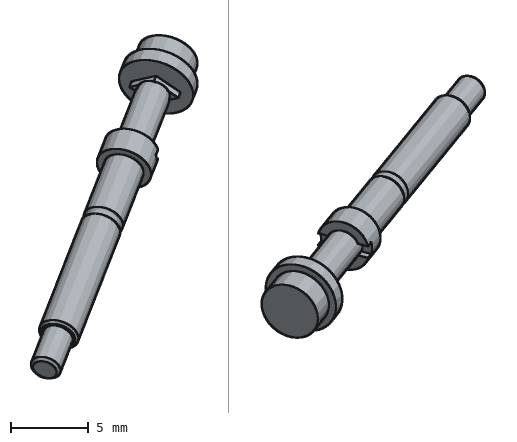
import cadquery as cq

TOTAL_LENGTH = 28.0

HEAD_RADIUS = 2.0
FLANGE_RADIUS = 2.5
SHANK_RADIUS = 1.15
NECK_RADIUS = 1.08
COLLAR_RADIUS = 1.825
BODY_RADIUS = 1.325
TIP_RADIUS = 1.0

HEAD_END = 1.7
FLANGE_END = 2.7
DIAMOND_END = 3.2
NECK_END = 3.65
SHANK_END = 8.2
COLLAR_END = 10.0
BODY_END = 25.0

DIAMOND_WIDTH = 3.3
DIAMOND_HEIGHT = 2.15

SLOT_WIDTH = 0.9
SLOT_DEPTH = 0.5

GROOVE_CENTER = 15.0
GROOVE_WIDTH = 0.6
GROOVE_DEPTH = 0.175

BODY_CHAMFER = 0.175
TIP_CHAMFER = 0.2

HEAD_FACE_Y = TOTAL_LENGTH / 2


def section(start, end, start_radius, end_radius=None):
    """Round or conical section between two distances from the head's end face."""
    if end_radius is None:
        end_radius = start_radius
    profile = [
        (0, HEAD_FACE_Y - start),
        (start_radius, HEAD_FACE_Y - start),
        (end_radius, HEAD_FACE_Y - end),
        (0, HEAD_FACE_Y - end),
    ]
    return cq.Workplane("XY").polyline(profile).close().revolve(360, (0, 0, 0), (0, 1, 0))


def make_head():
    """Cap and the wider flange below it."""
    cap = section(0, HEAD_END, HEAD_RADIUS)
    flange = section(HEAD_END, FLANGE_END, FLANGE_RADIUS)
    return cap.union(flange)


def make_diamond():
    """Rhombic block with its corners on the X and Z axes."""
    half_width = DIAMOND_WIDTH / 2
    half_height = DIAMOND_HEIGHT / 2
    corners = [(half_width, 0), (0, half_height), (-half_width, 0), (0, -half_height)]
    return (
        cq.Workplane("XZ", origin=(0, HEAD_FACE_Y - FLANGE_END, 0))
        .polyline(corners)
        .close()
        .extrude(DIAMOND_END - FLANGE_END)
    )


def make_shank():
    """Slightly tapered neck running into the cylindrical shank."""
    neck = section(DIAMOND_END, NECK_END, NECK_RADIUS, SHANK_RADIUS)
    shank = section(NECK_END, COLLAR_END, SHANK_RADIUS)
    return neck.union(shank)


def make_collar():
    """Collar with a slot along X in its head-side face."""
    collar = section(SHANK_END, COLLAR_END, COLLAR_RADIUS)
    slot = cq.Workplane("XY").box(2 * COLLAR_RADIUS, SLOT_DEPTH, SLOT_WIDTH)
    slot_center_y = HEAD_FACE_Y - SHANK_END - SLOT_DEPTH / 2
    return collar.cut(slot.translate((0, slot_center_y, 0)))


def make_body():
    """Main cylinder with a chamfered end and a round-bottomed groove."""
    body = section(COLLAR_END, BODY_END, BODY_RADIUS).faces("<Y").chamfer(BODY_CHAMFER)
    groove_y = HEAD_FACE_Y - GROOVE_CENTER
    groove = (
        cq.Workplane("XY")
        .moveTo(BODY_RADIUS, groove_y + GROOVE_WIDTH / 2)
        .threePointArc(
            (BODY_RADIUS - GROOVE_DEPTH, groove_y),
            (BODY_RADIUS, groove_y - GROOVE_WIDTH / 2),
        )
        .close()
        .revolve(360, (0, 0, 0), (0, 1, 0))
    )
    return body.cut(groove)


def make_tip():
    """Thin end with a chamfered edge."""
    return section(BODY_END, TOTAL_LENGTH, TIP_RADIUS).faces("<Y").chamfer(TIP_CHAMFER)


result = (
    make_head()
    .union(make_diamond())
    .union(make_shank())
    .union(make_collar())
    .union(make_body())
    .union(make_tip())
)